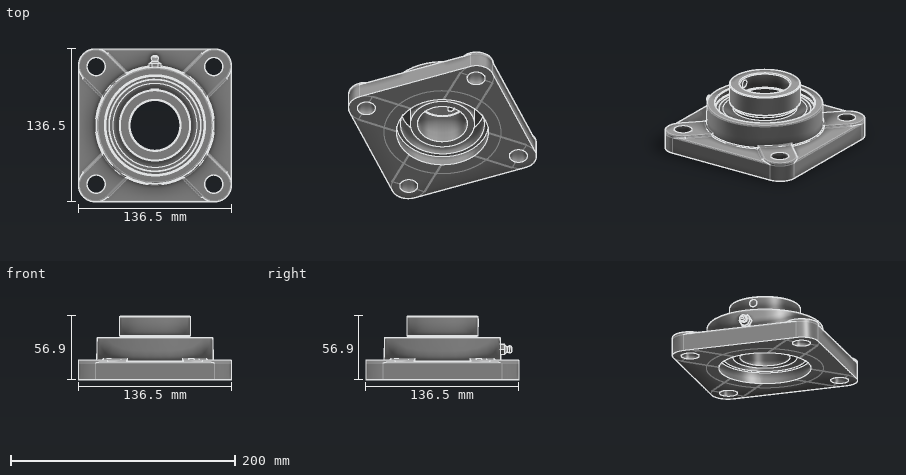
import cadquery as cq
import math

flange_side = 136.5
bolt_spacing = 104.775
bolt_hole_diameter = 16.0
corner_radius = 15.24
flange_top = 15.9
pad_top = 17.78
flange_edge_round = 0.9
pad_edge_round = 0.9
pad_side_fillet = pad_top - flange_top - pad_edge_round
pad_straight_length = (flange_side - 2 * corner_radius) * math.sqrt(2)

boss_top = 37.84
boss_base_radius = 52.2
boss_top_radius = 51.7
flange_foot_fillet = 0.95
pad_foot_fillet = 1.27
boss_rim_round = 1.0

bore_diameter = 44.45
bearing_top = 32.2
bearing_width = 22.0
bearing_sphere_radius = 42.5
bearing_centre = bearing_top - bearing_width / 2
bearing_bottom = bearing_top - bearing_width
ring_face_radius = math.sqrt(bearing_sphere_radius**2 - (bearing_width / 2) ** 2)
ring_edge_break = 0.4
seal_diameter = 74.93
seal_thickness = 2.0
seal_rise = 0.8
neck_diameter = 57.15

recess_diameter = 88.9
recess_rim_chamfer = 0.635
recess_floor_chamfer = 0.7

collar_diameter = 63.5
collar_bottom = 38.6
collar_top = 56.89
collar_chamfer = 0.8
collar_bore_chamfer = 0.95
lip_diameter = 57.91
lip_bottom = 35.8
nose_diameter = 50.29
nose_top = 43.0
nose_chamfer = 1.1

screw_diameter = 6.78
screw_height = 50.8
screw_inner_end = 28.0
screw_outer_end = 32.2

fitting_height = 27.1
hex_across_flats = 9.4
hex_seat = 51.0
hex_end = 55.1
shank_diameter = 6.0
shank_length = 6.0
cone_end = 56.7
cone_end_radius = 2.9
fitting_neck_radius = 2.6
neck_end = 58.1
head_diameter = 6.78
head_widest = 59.9
head_shoulder = 61.4
head_shoulder_radius = 2.7
tip_diameter = 2.26
tip_end = 62.2


def cylinder(radius, bottom, top):
    return cq.Workplane("XY").workplane(offset=bottom).circle(radius).extrude(top - bottom)


def rod_along_y(diameter, height, start, end):
    """Round rod on the Y axis direction, centred on x = 0 at the given height."""
    rod = cq.Solid.makeCylinder(diameter / 2, end - start, cq.Vector(0, start, height), cq.Vector(0, 1, 0))
    return cq.Workplane(obj=rod)


def bearing_ball():
    return cq.Workplane("XY").sphere(bearing_sphere_radius).translate((0, 0, bearing_centre))


def flange_plate():
    plate = cq.Workplane("XY").rect(flange_side, flange_side).extrude(flange_top)
    return plate.edges("|Z").fillet(corner_radius).faces(">Z").edges().fillet(flange_edge_round)


def crossed(bar):
    """The bar laid along both diagonals of the flange."""
    first = bar.rotate((0, 0, 0), (0, 0, 1), 45)
    second = bar.rotate((0, 0, 0), (0, 0, 1), -45)
    return first.union(second)


def round_ended_bar(height):
    """Bar along X whose round ends match the flange corners."""
    bar_length = pad_straight_length + 2 * corner_radius
    return cq.Workplane("XY").slot2D(bar_length, 2 * corner_radius).extrude(height)


def bolt_pads():
    return crossed(round_ended_bar(pad_top).faces(">Z").edges().fillet(pad_edge_round))


def pad_side_fillets():
    """Concave fillets along the straight sides of the bolt pads."""
    foot = corner_radius + pad_side_fillet
    sag = pad_side_fillet * (1 - math.sqrt(0.5))
    half_section = (
        cq.Workplane("YZ")
        .lineTo(foot, 0)
        .lineTo(foot, flange_top)
        .threePointArc((corner_radius + sag, flange_top + sag), (corner_radius, flange_top + pad_side_fillet))
        .lineTo(0, flange_top + pad_side_fillet)
        .close()
    )
    half_bar = half_section.extrude(pad_straight_length / 2, both=True)
    return crossed(half_bar.union(half_bar.mirror("XZ")))


def boss():
    profile = (
        cq.Workplane("XZ")
        .lineTo(boss_base_radius, 0)
        .lineTo(boss_base_radius, flange_top)
        .lineTo(boss_top_radius, boss_top)
        .lineTo(0, boss_top)
        .close()
    )
    cone = profile.revolve(360, (0, 0, 0), (0, 1, 0))
    return cone.faces(">Z").edges().fillet(boss_rim_round)


def boss_radius_at(height):
    taper = (boss_base_radius - boss_top_radius) / (boss_top - flange_top)
    return boss_base_radius - taper * (height - flange_top)


def boss_foot(level, fillet):
    """Concave fillet ring where the boss rises from a flat face at this level."""
    top = level + fillet
    wall = boss_radius_at(top)
    sag = fillet * (1 - math.sqrt(0.5))
    profile = (
        cq.Workplane("XZ")
        .moveTo(wall - fillet, level - fillet)
        .lineTo(wall + fillet, level - fillet)
        .lineTo(wall + fillet, level)
        .threePointArc((wall + sag, level + sag), (wall, top))
        .lineTo(wall - fillet, top)
        .close()
    )
    return profile.revolve(360, (0, 0, 0), (0, 1, 0))


def bearing_cavity():
    recess_radius = recess_diameter / 2
    profile = (
        cq.Workplane("XZ")
        .lineTo(ring_face_radius, 0)
        .lineTo(ring_face_radius, bearing_top)
        .lineTo(recess_radius - recess_floor_chamfer, bearing_top)
        .lineTo(recess_radius, bearing_top + recess_floor_chamfer)
        .lineTo(recess_radius, boss_top - recess_rim_chamfer)
        .lineTo(recess_radius + recess_rim_chamfer, boss_top)
        .lineTo(0, boss_top)
        .close()
    )
    cavity = profile.revolve(360, (0, 0, 0), (0, 1, 0))
    seat = bearing_ball().intersect(cylinder(bearing_sphere_radius, bearing_bottom, bearing_top))
    return cavity.union(seat)


def make_housing():
    body = flange_plate().union(bolt_pads()).union(pad_side_fillets()).union(boss())
    body = body.union(boss_foot(flange_top, flange_foot_fillet))
    over_pads = crossed(round_ended_bar(pad_top + pad_foot_fillet))
    pad_foot = boss_foot(pad_top, pad_foot_fillet).intersect(over_pads)
    body = body.union(pad_foot)
    body = body.cut(bearing_cavity())
    bolt_holes = (
        cq.Workplane("XY")
        .rect(bolt_spacing, bolt_spacing, forConstruction=True)
        .vertices()
        .circle(bolt_hole_diameter / 2)
        .extrude(pad_top)
    )
    return body.cut(bolt_holes).cut(make_grease_fitting())


def make_outer_ring():
    ring = bearing_ball().intersect(cylinder(bearing_sphere_radius, bearing_bottom, bearing_top))
    ring = ring.faces(">Z").edges().chamfer(ring_edge_break)
    return ring.cut(cylinder(seal_diameter / 2, bearing_bottom, bearing_top))


def make_seal():
    """Washer with a shallow conical top face rising towards the inner ring."""
    profile = (
        cq.Workplane("XZ")
        .moveTo(neck_diameter / 2, bearing_top - seal_thickness)
        .lineTo(seal_diameter / 2, bearing_top - seal_thickness)
        .lineTo(seal_diameter / 2, bearing_top)
        .lineTo(neck_diameter / 2, bearing_top + seal_rise)
        .close()
    )
    return profile.revolve(360, (0, 0, 0), (0, 1, 0))


def make_inner_ring():
    ring = cylinder(neck_diameter / 2, bearing_bottom, lip_bottom)
    ring = ring.union(cylinder(nose_diameter / 2, bearing_bottom, nose_top))
    ring = ring.cut(cylinder(bore_diameter / 2, bearing_bottom, nose_top))
    return ring.faces(">Z").edges(cq.selectors.RadiusNthSelector(0)).chamfer(nose_chamfer)


def make_collar():
    body = cylinder(collar_diameter / 2, collar_bottom, collar_top).edges().chamfer(collar_chamfer)
    body = body.union(cylinder(lip_diameter / 2, lip_bottom, collar_bottom))
    body = body.cut(cylinder(bore_diameter / 2, lip_bottom, collar_top))
    body = body.faces(">Z").edges(cq.selectors.RadiusNthSelector(0)).chamfer(collar_bore_chamfer)
    body = body.cut(cylinder(nose_diameter / 2, lip_bottom, nose_top))
    return body.cut(rod_along_y(screw_diameter, screw_height, 0, collar_diameter))


def make_set_screw():
    return rod_along_y(screw_diameter, screw_height, screw_inner_end, screw_outer_end)


def make_grease_fitting():
    """Hexagon with a turned nipple, on a shank that fills a hole in the boss."""
    hex_corner_diameter = hex_across_flats / math.cos(math.pi / 6)
    hexagon = (
        cq.Workplane("XZ", origin=(0, hex_seat, fitting_height))
        .polygon(6, hex_corner_diameter)
        .extrude(hex_seat - hex_end)
    )
    shank = rod_along_y(shank_diameter, fitting_height, hex_seat - shank_length, hex_seat)
    nipple = (
        cq.Workplane("XY")
        .moveTo(0, hex_seat)
        .lineTo(hex_across_flats / 2, hex_seat)
        .lineTo(hex_across_flats / 2, hex_end)
        .lineTo(cone_end_radius, cone_end)
        .lineTo(fitting_neck_radius, cone_end)
        .lineTo(fitting_neck_radius, neck_end)
        .lineTo(head_diameter / 2, head_widest)
        .lineTo(head_shoulder_radius, head_shoulder)
        .lineTo(tip_diameter / 2, tip_end)
        .lineTo(0, tip_end)
        .close()
        .revolve(360, (0, 0, 0), (0, 1, 0))
        .translate((0, 0, fitting_height))
    )
    return hexagon.union(shank).union(nipple)


housing = make_housing()
outer_ring = make_outer_ring()
seal = make_seal()
inner_ring = make_inner_ring()
collar = make_collar()
set_screw = make_set_screw()
grease_fitting = make_grease_fitting()

result = cq.Compound.makeCompound([
    housing.val(),
    outer_ring.val(),
    seal.val(),
    inner_ring.val(),
    collar.val(),
    set_screw.val(),
    grease_fitting.val(),
])